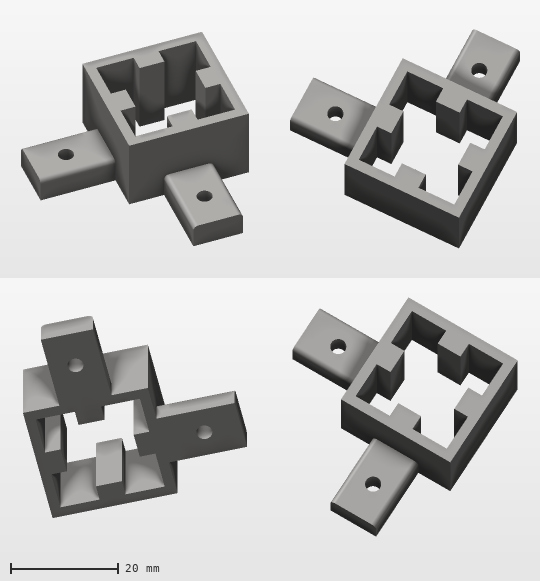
import cadquery as cq

overall_length = 39.0
sleeve_height = 15.0
tab_length = 15.0
sleeve_width = overall_length - tab_length
wall = 2.0
rib_width = 5.0
rib_depth = 3.0

tab_width = 10.0
tab_height = 5.0
tab_edge_radius = 1.0
hole_diameter = 3.0
hole_from_sleeve = 8.0

half_sleeve = sleeve_width / 2
bore_width = sleeve_width - 2 * wall


def make_sleeve():
    """Square tube with one rib in the middle of each inner wall."""
    sleeve = (
        cq.Workplane("XY")
        .rect(sleeve_width, sleeve_width)
        .rect(bore_width, bore_width)
        .extrude(sleeve_height)
    )
    rib = (
        cq.Workplane("XY")
        .center(half_sleeve - (wall + rib_depth) / 2, 0)
        .rect(wall + rib_depth, rib_width)
        .extrude(sleeve_height)
    )
    for angle in (0, 90, 180, 270):
        sleeve = sleeve.union(rib.rotate((0, 0, 0), (0, 0, 1), angle))
    return sleeve


def make_tab():
    """Drilled tab pointing along +X, with its two long top edges rounded."""
    tab = (
        cq.Workplane("XY")
        .center(half_sleeve + tab_length / 2, 0)
        .rect(tab_length, tab_width)
        .extrude(tab_height)
        .edges("|X and >Z")
        .fillet(tab_edge_radius)
    )
    hole = (
        cq.Workplane("XY")
        .center(half_sleeve + hole_from_sleeve, 0)
        .circle(hole_diameter / 2)
        .extrude(tab_height)
    )
    return tab.cut(hole)


tab = make_tab()
result = make_sleeve().union(tab).union(tab.rotate((0, 0, 0), (0, 0, 1), -90))